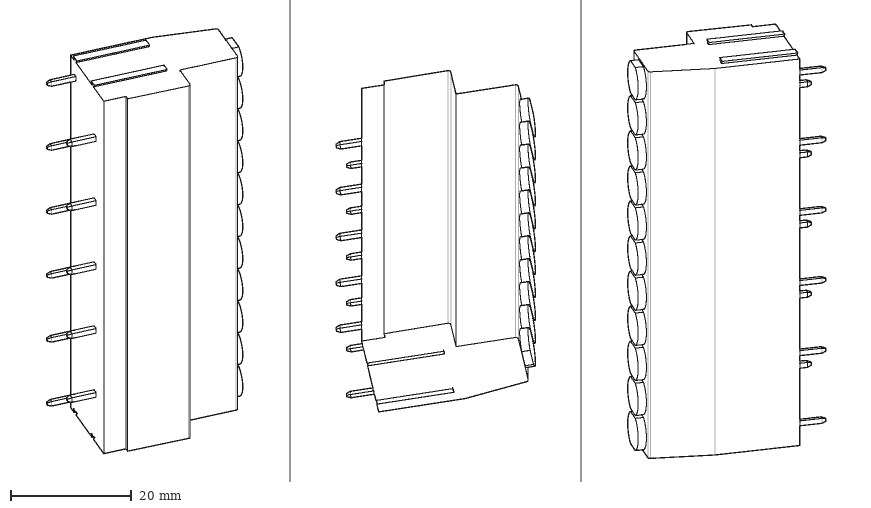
import cadquery as cq


overall_length = 70.45
key_height = 0.55
housing_length = overall_length - key_height
housing_width = 15.85
housing_height = 25.6
slope_start = 14.6
slope_inset = 1.55
upper_right = 10.85
shoulder_height = 15.15
notch_width = 0.9
side_draft = 0.15
notch_height = 3.95
corner_radius = 0.4

pole_count = 11
pole_pitch = 6.35
row_length = (pole_count - 1) * pole_pitch
first_pole_z = (housing_length - row_length) / 2
pole_positions = [first_pole_z + index * pole_pitch for index in range(pole_count)]

head_diameter = 6.55
head_across_flats = 5.85
head_height = 1.4
head_x = 6.05

pin_length = 5.0
pin_taper = 0.7
pin_depth = 0.9
pin_tip_scale = 0.5
left_column_x = 2.05
left_pin_width = 0.7
right_column_x = 11.05
right_pin_width = 0.9

key_length = 12.95
key_undercut = 0.4
left_key_x = 2.05
left_key_width = 1.6
right_key_x = 10.0
right_key_width = 1.4
keys = [(left_key_x, left_key_width), (right_key_x, right_key_width)]


def make_housing():
    notch_x = housing_width - notch_width
    outline = [
        (0, 0),
        (notch_x, 0),
        (notch_x, notch_height),
        (housing_width - side_draft, notch_height),
        (housing_width, shoulder_height),
        (upper_right, shoulder_height),
        (upper_right, housing_height),
        (slope_inset, housing_height),
        (0, slope_start),
    ]
    body = cq.Workplane("XY").polyline(outline).close().extrude(housing_length)
    rounded_corners = [
        (slope_inset, housing_height),
        (upper_right, housing_height),
        (housing_width, shoulder_height),
    ]
    for x, y in rounded_corners:
        corner = cq.selectors.NearestToPointSelector((x, y, housing_length / 2))
        body = body.edges(corner).fillet(corner_radius)
    return body


def make_dovetail(center_x, width, base_z):
    """Dovetail bar along Y, wider at its upper face than at base_z."""
    half_top = width / 2
    half_base = half_top - key_undercut
    section = [
        (center_x - half_base, base_z),
        (center_x + half_base, base_z),
        (center_x + half_top, base_z + key_height),
        (center_x - half_top, base_z + key_height),
    ]
    return cq.Workplane("XZ").polyline(section).close().extrude(-key_length)


def make_head(z):
    disc = (
        cq.Workplane("XZ", origin=(head_x, housing_height, z))
        .circle(head_diameter / 2)
        .extrude(-head_height)
    )
    flats = (
        cq.Workplane("XZ", origin=(head_x, housing_height, z))
        .rect(head_diameter, head_across_flats)
        .extrude(-head_height)
    )
    return disc.intersect(flats)


def make_pin(x, z, width):
    """Rectangular pin hanging from the pin face, tapered at its tip."""
    shank_length = pin_length - pin_taper
    shank = cq.Workplane("XZ", origin=(x, 0, z)).rect(width, pin_depth).extrude(shank_length)
    tip = (
        cq.Workplane("XZ", origin=(x, -shank_length, z))
        .rect(width, pin_depth)
        .workplane(offset=pin_taper)
        .rect(width * pin_tip_scale, pin_depth * pin_tip_scale)
        .loft(ruled=True)
    )
    return shank.union(tip)


result = make_housing()

for key_x, key_width in keys:
    result = result.union(make_dovetail(key_x, key_width, housing_length))
    result = result.cut(make_dovetail(key_x, key_width, 0))

for index, pole_z in enumerate(pole_positions):
    result = result.union(make_head(pole_z))
    if index % 2 == 0:
        result = result.union(make_pin(left_column_x, pole_z, left_pin_width))
    else:
        result = result.union(make_pin(right_column_x, pole_z, right_pin_width))